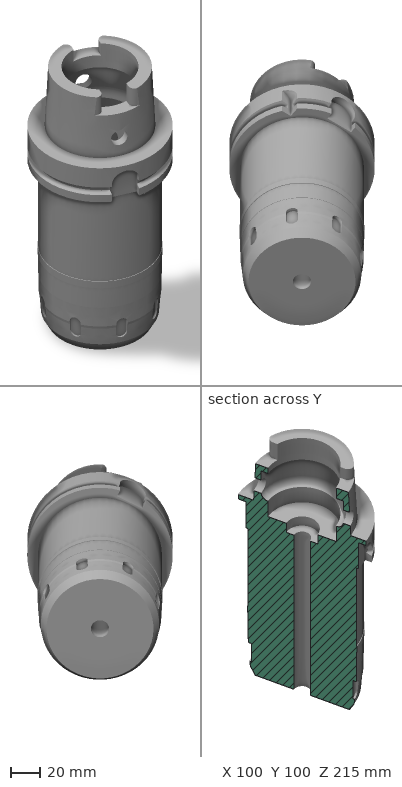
import cadquery as cq
import math


total_height = 215.0
shank_length = 50.0
flange_length = 29.0
flange_top = total_height - shank_length
flange_bottom = flange_top - flange_length

shank_top_radius = 35.7
shank_base_radius = 38.0
flange_diameter = 100.0
flange_radius = flange_diameter / 2
body_radius = 42.5

groove_radius = 46.0
groove_center = 145.1
groove_floor_height = 3.9
groove_mouth_height = 6.5

band_radius = 43.0
band_bottom = 57.0
band_top = 62.8
nut_top = 40.0
nut_top_radius = 42.4
nut_step = 23.6
nut_step_radius = 42.1
nut_cone_top = 21.5
nut_cone_top_radius = 41.7
nut_chamfer_top = 7.3
nut_chamfer_radius = 40.6
nose_radius = 36.8

spanner_slot_count = 8
spanner_slot_width = 8.2
spanner_slot_height = 16.8
spanner_slot_center = 20.2
spanner_slot_floor = 39.5

mouth_radius = 26.5
mouth_depth = 20.5
chamber_radius = 31.8
chamber_depth = 40.8
bore_depth = 60.6
coolant_seat_radius = 12.3
coolant_seat_depth = 8.5
coolant_radius = 6.2

cross_hole_radius = 6.0
cross_hole_center = 180.0

drive_slot_width = 20.0
drive_flare_radius = 4.5
drive_flare_x = 32.5
shallow_drive_depth = 10.0
deep_drive_depth = 15.0

keyway_width = 20.0
keyway_top = 160.4
keyway_floor = 44.0
notch_floor_x = 31.2
notch_center_y = 39.1
notch_radius = 7.5
notch_top = 159.7

clearance = 10.8


def turned(points):
    """Solid of revolution about Z from (radius, z) points."""
    return cq.Workplane("XZ").polyline(points).close().revolve(360, (0, 0, 0), (0, 1, 0))


def outer_body():
    half_floor = groove_floor_height / 2
    half_mouth = groove_mouth_height / 2
    return turned([
        (0, 0),
        (nose_radius, 0),
        (nut_chamfer_radius, nut_chamfer_top),
        (nut_cone_top_radius, nut_cone_top),
        (nut_step_radius, nut_step),
        (nut_top_radius, nut_top),
        (body_radius, nut_top),
        (body_radius, band_bottom),
        (band_radius, band_bottom),
        (band_radius, band_top),
        (body_radius, band_top),
        (body_radius, flange_bottom),
        (flange_radius, flange_bottom),
        (flange_radius, groove_center - half_mouth),
        (groove_radius, groove_center - half_floor),
        (groove_radius, groove_center + half_floor),
        (flange_radius, groove_center + half_mouth),
        (flange_radius, flange_top),
        (shank_base_radius, flange_top),
        (shank_top_radius, total_height),
        (0, total_height),
    ])


def shank_bore():
    mouth_bottom = total_height - mouth_depth
    chamber_bottom = total_height - chamber_depth
    bore_floor = total_height - bore_depth
    seat_floor = bore_floor - coolant_seat_depth
    corner_radius = chamber_radius - mouth_radius
    corner_offset = corner_radius * math.sqrt(0.5)
    corner_mid = (mouth_radius + corner_offset, chamber_bottom - corner_offset)
    return (
        cq.Workplane("XZ")
        .moveTo(0, 0)
        .lineTo(coolant_radius, 0)
        .lineTo(coolant_radius, seat_floor)
        .lineTo(coolant_seat_radius, seat_floor)
        .lineTo(coolant_seat_radius, bore_floor)
        .lineTo(mouth_radius, bore_floor)
        .lineTo(mouth_radius, chamber_bottom - corner_radius)
        .threePointArc(corner_mid, (chamber_radius, chamber_bottom))
        .lineTo(chamber_radius, mouth_bottom)
        .lineTo(mouth_radius, mouth_bottom)
        .lineTo(mouth_radius, total_height)
        .lineTo(0, total_height)
        .close()
        .revolve(360, (0, 0, 0), (0, 1, 0))
    )


def cross_hole():
    return (
        cq.Workplane("YZ")
        .center(0, cross_hole_center)
        .circle(cross_hole_radius)
        .extrude(flange_radius, both=True)
    )


def drive_slot(side, depth):
    """Rim slot opening toward side * X, flaring outward through rounded corners."""
    half_width = drive_slot_width / 2
    flare_start_x = drive_flare_x - drive_flare_radius
    flare_half_width = half_width + drive_flare_radius
    arc_dip = drive_flare_radius * math.sqrt(0.5)
    arc_mid = (flare_start_x + arc_dip, flare_half_width - arc_dip)
    outer_x = drive_flare_x + clearance
    outer_y = flare_half_width + clearance
    return (
        cq.Workplane("XY", origin=(0, 0, total_height - depth))
        .moveTo(0, -half_width)
        .lineTo(side * flare_start_x, -half_width)
        .threePointArc((side * arc_mid[0], -arc_mid[1]), (side * drive_flare_x, -flare_half_width))
        .lineTo(side * drive_flare_x, -outer_y)
        .lineTo(side * outer_x, -outer_y)
        .lineTo(side * outer_x, outer_y)
        .lineTo(side * drive_flare_x, outer_y)
        .lineTo(side * drive_flare_x, flare_half_width)
        .threePointArc((side * arc_mid[0], arc_mid[1]), (side * flare_start_x, half_width))
        .lineTo(0, half_width)
        .close()
        .extrude(depth)
    )


def round_top_slot(side, floor_x, center_y, radius, top):
    """Slot with a round upper end and a flat floor at side * floor_x, open below the flange."""
    arc_center = top - radius
    depth = flange_radius + clearance - floor_x
    return (
        cq.Workplane("YZ", origin=(side * floor_x, 0, 0))
        .moveTo(center_y - radius, flange_bottom)
        .lineTo(center_y - radius, arc_center)
        .threePointArc((center_y, top), (center_y + radius, arc_center))
        .lineTo(center_y + radius, flange_bottom)
        .close()
        .extrude(side * depth)
    )


def spanner_slots():
    slot = (
        cq.Workplane("YZ", origin=(spanner_slot_floor, 0, spanner_slot_center))
        .slot2D(spanner_slot_height, spanner_slot_width, 90)
        .extrude(clearance)
    )
    slots = cq.Workplane("XY")
    for i in range(spanner_slot_count):
        slots = slots.add(slot.rotate((0, 0, 0), (0, 0, 1), i * 360 / spanner_slot_count))
    return slots.combine()


result = outer_body().cut(shank_bore()).cut(cross_hole())
result = result.cut(drive_slot(-1, shallow_drive_depth)).cut(drive_slot(1, deep_drive_depth))
for keyway_side in (-1, 1):
    result = result.cut(round_top_slot(keyway_side, keyway_floor, 0, keyway_width / 2, keyway_top))
result = result.cut(round_top_slot(-1, notch_floor_x, notch_center_y, notch_radius, notch_top))
result = result.cut(spanner_slots())